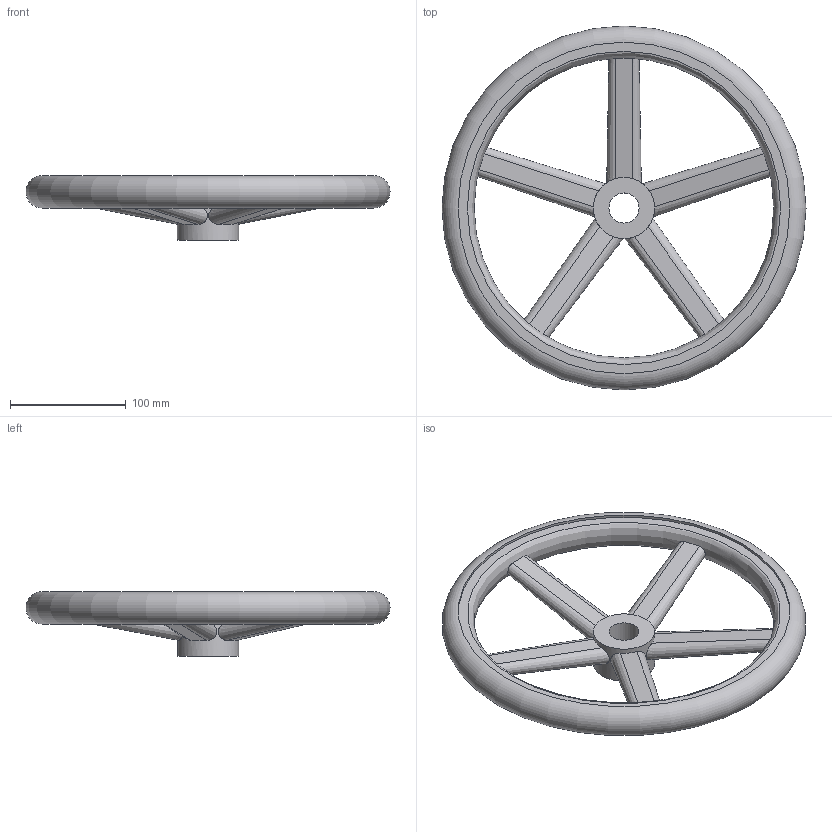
import cadquery as cq
import math

rim_outer_radius = 157.5
rim_inner_radius = 129.5
rim_height = 28.0
rim_step_depth = 2.3
inner_ring_flat_radius = 135.5
overall_height = 56.0
rim_mid_z = overall_height - rim_height / 2
rim_step_radius = rim_outer_radius - rim_height / 2
inner_ring_height = rim_height - 2 * rim_step_depth

hub_diameter = 53.0
hub_height = 34.0
bore_diameter = 26.0

spoke_count = 5
first_spoke_angle = 90.0
spoke_flat_width = 14.5
spoke_inner_radius = 20.0
spoke_inner_thickness = 15.7
spoke_inner_z = 20.8
spoke_outer_radius = 136.0
spoke_outer_thickness = 11.5
spoke_outer_z = 40.5


def make_rim():
    """Revolve the rim section about the Z axis."""
    bottom_z = rim_mid_z - rim_height / 2
    inner_ring_bottom_z = rim_mid_z - inner_ring_height / 2
    inner_ring_top_z = rim_mid_z + inner_ring_height / 2
    inner_bulge = inner_ring_flat_radius - rim_inner_radius
    section = (
        cq.Workplane("XZ")
        .moveTo(inner_ring_flat_radius, inner_ring_bottom_z)
        .lineTo(rim_step_radius, inner_ring_bottom_z)
        .lineTo(rim_step_radius, bottom_z)
        .threePointArc((rim_outer_radius, rim_mid_z), (rim_step_radius, overall_height))
        .lineTo(rim_step_radius, inner_ring_top_z)
        .lineTo(inner_ring_flat_radius, inner_ring_top_z)
        .ellipseArc(inner_bulge, inner_ring_height / 2, 90, 270, startAtCurrent=True)
        .close()
    )
    return section.revolve(360, (0, 0, 0), (0, 1, 0))


def make_spoke():
    """Loft one spoke along +X, rising from the hub to the rim."""
    run = spoke_outer_radius - spoke_inner_radius
    rise = spoke_outer_z - spoke_inner_z
    start_plane = cq.Plane(
        origin=(spoke_inner_radius, 0, spoke_inner_z),
        xDir=(0, 1, 0),
        normal=(run, 0, rise),
    )
    return (
        cq.Workplane(start_plane)
        .slot2D(spoke_flat_width + spoke_inner_thickness, spoke_inner_thickness)
        .workplane(offset=math.hypot(run, rise))
        .slot2D(spoke_flat_width + spoke_outer_thickness, spoke_outer_thickness)
        .loft(ruled=True, combine=True)
    )


hub = cq.Workplane("XY").circle(hub_diameter / 2).extrude(hub_height)
bore = cq.Workplane("XY").circle(bore_diameter / 2).extrude(hub_height)

result = make_rim().union(hub)
spoke = make_spoke()
for index in range(spoke_count):
    angle = first_spoke_angle + index * 360 / spoke_count
    result = result.union(spoke.rotate((0, 0, 0), (0, 0, 1), angle))
result = result.cut(bore)